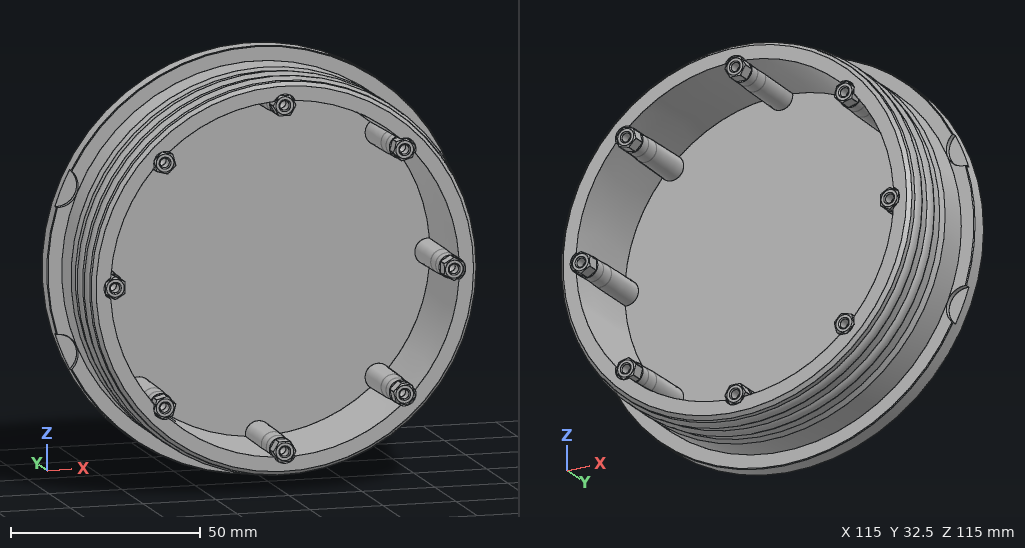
import cadquery as cq
import math

flange_radius = 57.5
flange_thickness = 6.0
flange_back_chamfer = 1.0
flange_front_chamfer = 0.2
cap_length = 32.5

shoulder_radius = 53.5
shoulder_end = 14.7
neck_radius = 52.8
neck_start = 16.5
rim_chamfer = 1.0

bead_starts = (19.5, 26.1)
bead_width = 3.8
bead_height = 0.8

floor_depth = 7.5
floor_radius = 47.0
mouth_radius = 47.8

pin_count = 8
pin_circle_radius = 46.5
pin_base_radius = 3.6
pin_shaft_radius = 3.3
pin_tip_radius = 3.1
pin_face_radius = 2.4
hex_sides = 6
hex_across_flats = 5.4
taper_start = 21.7
collar_start = 25.6
hex_start = 28.8
pin_chamfer = 0.2
pin_hole_radius = 1.3
pin_countersink = 0.3
pin_hole_depth = 3.5
drill_point_depth = 0.9

scallop_angles = (22.5, 157.5, 202.5, 337.5)
scallop_radius = 5.5
scallop_depth = 1.5

axis = ((0, 0, 0), (0, 1, 0))


def turn(shape, angle):
    """Rotate a shape about the Y axis."""
    return shape.rotate(*axis, angle)


def plug_blank():
    """Solid of revolution: flange, shoulder, neck and beads."""
    profile = (
        cq.Workplane("XY")
        .moveTo(0, 0)
        .lineTo(flange_radius - flange_back_chamfer, 0)
        .lineTo(flange_radius, -flange_back_chamfer)
        .lineTo(flange_radius, -flange_thickness + flange_front_chamfer)
        .lineTo(flange_radius - flange_front_chamfer, -flange_thickness)
        .lineTo(shoulder_radius, -flange_thickness)
        .lineTo(shoulder_radius, -shoulder_end)
        .lineTo(neck_radius, -neck_start)
    )
    for start in bead_starts:
        profile = (
            profile.lineTo(neck_radius, -start)
            .threePointArc(
                (neck_radius + bead_height, -start - bead_width / 2),
                (neck_radius, -start - bead_width),
            )
        )
    return (
        profile.lineTo(neck_radius, -cap_length + rim_chamfer)
        .lineTo(neck_radius - rim_chamfer, -cap_length)
        .lineTo(0, -cap_length)
        .close()
        .revolve(360, *axis)
    )


def bore():
    """Tapered bore from the open end down to the floor."""
    return (
        cq.Workplane("XY")
        .moveTo(0, -floor_depth)
        .lineTo(floor_radius, -floor_depth)
        .lineTo(mouth_radius, -cap_length)
        .lineTo(0, -cap_length)
        .close()
        .revolve(360, *axis)
    )


def pin():
    """Round stepped pin on the Y axis."""
    overlap = flange_thickness / 2
    return (
        cq.Workplane("XY")
        .moveTo(0, -overlap)
        .lineTo(pin_base_radius, -overlap)
        .lineTo(pin_base_radius, -floor_depth)
        .lineTo(pin_shaft_radius, -taper_start)
        .lineTo(pin_tip_radius, -collar_start)
        .lineTo(pin_tip_radius, -cap_length)
        .lineTo(0, -cap_length)
        .close()
        .revolve(360, *axis)
    )


def hex_relief():
    """Material removed around the tip of a pin, and from the wall beside it, to leave a
    chamfered hexagon whose corners are trimmed by the round of the pin."""
    half_side_angle = 180 / hex_sides
    across_corners = hex_across_flats / math.cos(math.radians(half_side_angle))
    relief_length = cap_length - hex_start
    start = cq.Workplane("XZ", origin=(0, -hex_start, 0))
    hexagon = turn(start.polygon(hex_sides, across_corners).extrude(relief_length), half_side_angle)
    chamfered_round = (
        cq.Workplane("XY")
        .moveTo(0, -hex_start)
        .lineTo(pin_tip_radius, -hex_start)
        .lineTo(pin_tip_radius, -cap_length + pin_chamfer)
        .lineTo(pin_face_radius, -cap_length)
        .lineTo(0, -cap_length)
        .close()
        .revolve(360, *axis)
    )
    tip = hexagon.intersect(chamfered_round)
    return start.circle(pin_tip_radius).extrude(relief_length).cut(tip)


def pin_hole():
    """Blind countersunk hole with a drill point in the tip of a pin, on the Y axis."""
    bottom = -cap_length + pin_hole_depth
    return (
        cq.Workplane("XY")
        .moveTo(0, -cap_length)
        .lineTo(pin_hole_radius + pin_countersink, -cap_length)
        .lineTo(pin_hole_radius, -cap_length + pin_countersink)
        .lineTo(pin_hole_radius, bottom)
        .lineTo(0, bottom + drill_point_depth)
        .close()
        .revolve(360, *axis)
    )


def around_axis(shape, angle):
    """Move a shape from the Y axis out to the pin circle at an angle."""
    return turn(shape.translate((pin_circle_radius, 0, 0)), angle)


def scallops():
    """Shallow round cutters that just reach the shoulder."""
    centre_radius = shoulder_radius + scallop_radius
    centres = [
        (centre_radius * math.cos(math.radians(a)), centre_radius * math.sin(math.radians(a)))
        for a in scallop_angles
    ]
    return (
        cq.Workplane("XZ", origin=(0, scallop_depth - flange_thickness, 0))
        .pushPoints(centres)
        .circle(scallop_radius)
        .extrude(scallop_depth)
    )


result = plug_blank().cut(bore()).cut(scallops())
for index in range(pin_count):
    angle = index * 360 / pin_count
    result = result.union(around_axis(pin(), angle))
    result = result.cut(around_axis(hex_relief(), angle))
    result = result.cut(around_axis(pin_hole(), angle))